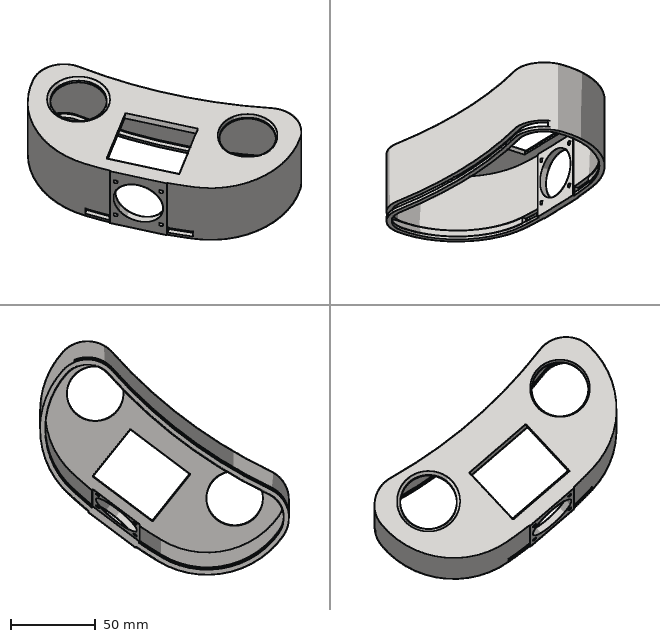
import cadquery as cq
import math

length = 164.5
depth = 77.1
height = 44.0
wall = 3.1
top_plate = 3.0

front_radius = 333.9
side_radius = 54.3
corner_radius = 19.2
back_radius = 296.0

fan_size = 35.0
fan_wall = 4.5
fan_bore = 30.5
fan_screw_pitch = 28.0
fan_screw_hole = 2.5

bore_spacing = 104.0
bore_y = 51.1
bore_diameter = 33.2
left_rim_diameter = 37.2
left_rim_depth = 1.3
right_rim_diameter = 35.2
right_rim_depth = 2.0

window_length = 44.5
window_front = 10.5
window_back = 47.2
window_bevel_run = 1.0
window_bevel_depth = 1.5
window_lip = 0.5

groove_bottom = 2.0
groove_height = 4.0
groove_skin = 2.6
tab_slot_length = 15.1
tab_slot_x = 25.5

side_x = length / 2 - side_radius
side_y = front_radius - math.sqrt((front_radius - side_radius) ** 2 - side_x ** 2)
corner_y = depth - corner_radius
corner_x = side_x + math.sqrt((side_radius - corner_radius) ** 2 - (corner_y - side_y) ** 2)
back_center_y = corner_y + math.sqrt((back_radius + corner_radius) ** 2 - corner_x ** 2)


def along(start, toward, distance):
    """Point at a distance from start on the ray through toward."""
    dx = toward[0] - start[0]
    dy = toward[1] - start[1]
    ratio = distance / math.hypot(dx, dy)
    return (start[0] + dx * ratio, start[1] + dy * ratio)


def mirrored(point):
    return (-point[0], point[1])


def outline():
    """Closed bean-shaped wire on the XY plane."""
    side_center = (side_x, side_y)
    corner_center = (corner_x, corner_y)
    back_center = (0, back_center_y)
    front_end = along((0, front_radius), side_center, front_radius)
    side_mid = along(side_center, (length / 2, 0), side_radius)
    side_end = along(side_center, corner_center, side_radius)
    corner_mid = along(corner_center, (length / 2, depth), corner_radius)
    corner_end = along(back_center, corner_center, back_radius)
    return (
        cq.Workplane("XY")
        .moveTo(*mirrored(front_end))
        .threePointArc((0, 0), front_end)
        .threePointArc(side_mid, side_end)
        .threePointArc(corner_mid, corner_end)
        .threePointArc((0, back_center_y - back_radius), mirrored(corner_end))
        .threePointArc(mirrored(corner_mid), mirrored(side_end))
        .threePointArc(mirrored(side_mid), mirrored(front_end))
        .close()
    )


def block(x_size, y_start, y_end, z_start, z_end, x_center=0):
    return (
        cq.Workplane("XY")
        .box(x_size, y_end - y_start, z_end - z_start, centered=(True, False, False))
        .translate((x_center, y_start, z_start))
    )


def shell():
    """Side walls and top plate around an open-bottomed cavity."""
    cavity = outline().offset2D(-wall).extrude(height - top_plate)
    return outline().extrude(height).cut(cavity)


def fan_seat():
    """Flat, thickened stretch of the front wall, flush with y = 0."""
    return block(fan_size, 0, fan_wall, 0, height)


def fan_holes():
    """Fan bore and its four screw holes through the front wall."""
    fan_plane = cq.Workplane("XZ", origin=(0, 0, height / 2))
    bore = fan_plane.circle(fan_bore / 2).extrude(-fan_wall)
    screws = (
        fan_plane.rect(fan_screw_pitch, fan_screw_pitch, forConstruction=True)
        .vertices()
        .circle(fan_screw_hole / 2)
        .extrude(-fan_wall)
    )
    return bore.union(screws)


def top_bore(x, rim_diameter, rim_depth):
    """Round opening in the top plate, widened to a conical rim."""
    top = cq.Workplane("XY", origin=(x, bore_y, height))
    bore = top.circle(bore_diameter / 2).extrude(-2 * top_plate)
    rim = (
        top.circle(rim_diameter / 2)
        .workplane(offset=-rim_depth)
        .circle(bore_diameter / 2)
        .loft()
    )
    return bore.union(rim)


def window():
    """Rectangular opening, bevelled at front and back, with a rounded lip at the back."""
    bevel_z = height - window_bevel_depth
    plate_z = height - top_plate
    below_z = plate_z - top_plate
    lip_y = window_back - window_lip
    profile = (
        cq.Workplane("YZ")
        .moveTo(window_front, below_z)
        .lineTo(window_front, bevel_z)
        .lineTo(window_front - window_bevel_run, height)
        .lineTo(window_back + window_bevel_run, height)
        .lineTo(window_back, bevel_z)
        .tangentArcPoint((lip_y, plate_z), relative=False)
        .lineTo(lip_y, below_z)
        .close()
    )
    return profile.extrude(window_length / 2, both=True)


def plate_groove():
    """Groove around the cavity, running straight out through the back wall."""
    groove_top = groove_bottom + groove_height
    ring = (
        outline().offset2D(-groove_skin).extrude(groove_height).translate((0, 0, groove_bottom))
    )
    back_exit = block(length - 2 * groove_skin, side_y, depth, groove_bottom, groove_top)
    groove = ring.union(back_exit)
    for side in (-1, 1):
        groove = groove.union(
            block(tab_slot_length, 0, 2 * wall, groove_bottom, groove_top, side * tab_slot_x)
        )
    return groove


result = (
    shell()
    .cut(plate_groove())
    .union(fan_seat())
    .cut(fan_holes())
    .cut(top_bore(-bore_spacing / 2, left_rim_diameter, left_rim_depth))
    .cut(top_bore(bore_spacing / 2, right_rim_diameter, right_rim_depth))
    .cut(window())
)